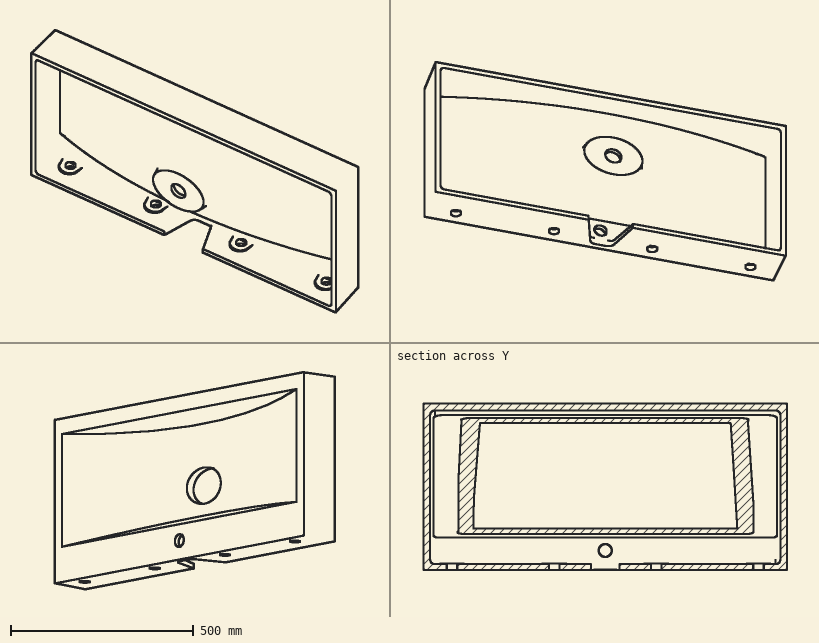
import cadquery as cq
import math


length = 1000.0
height = 460.0
depth = 115.0
draft = 2.0
outer_corner = 3.0

shell = 15.0
deck_y = depth - shell
end_wall = 15.0
top_wall = 16.0
bottom_wall = 14.0
end_draft = 8.0
top_draft = 8.0
bottom_draft = 6.0
inner_corner = 11.0
deck_fillet = 9.0

bowl_floor_y = 2.0
bowl_floor_low_y = -3.0
bowl_floor_high_y = 15.0
bowl_half_chord = 470.0
bowl_low_z = -140.0
bowl_high_z = 196.0
low_slope = 20.8
high_slope = 15.1
low_fillet = 11.0
high_fillet = 12.0
bowl_blank_half_length = 520.0

drain_z = -10.0
boss_face_y = -26.0
boss_radius_x = 83.0
boss_radius_z = 65.0
boss_slope = 12.0
boss_fillet = 13.0
boss_top_y = 12.0
boss_floor = 13.0
drain_radius = 23.0
cover_thickness = 10.0
cover_inset = 15.0

tap_radius = 17.5
tap_z = -175.0
notch_half_mouth = 63.0
notch_half_root = 30.0
notch_depth = 98.0
notch_fillet = 20.0
notch_edge_fillet = 3.0

pad_pitch = 280.0
pad_count = 4
pad_root_half = 42.0
pad_side_half = 31.0
pad_side_y = 57.0
pad_tip_y = 38.0
pad_rise = 5.0
pad_slope = 45.0
pad_hole_radius = 14.0
pad_hole_y = 75.0


def rounded_rectangle(y, x_half, z_low, z_high, corner):
    return (
        cq.Workplane("XZ", origin=(0, y, (z_low + z_high) / 2))
        .rect(2 * x_half, z_high - z_low)
        .extrude(-10)
        .edges("|Y")
        .fillet(corner)
        .faces("<Y")
        .wires()
        .val()
    )


def make_block():
    front = rounded_rectangle(0, length / 2, -height / 2, height / 2, outer_corner)
    back = rounded_rectangle(
        depth, length / 2 - draft, draft - height / 2, height / 2 - draft, outer_corner
    )
    return cq.Workplane(cq.Solid.makeLoft([front, back], True))


def make_hollow():
    x_half = length / 2 - end_wall
    z_low = bottom_wall - height / 2
    z_high = height / 2 - top_wall
    mouth = rounded_rectangle(0, x_half, z_low, z_high, inner_corner)
    deck = rounded_rectangle(
        deck_y, x_half - end_draft, z_low + bottom_draft, z_high - top_draft, inner_corner
    )
    hollow = cq.Workplane(cq.Solid.makeLoft([mouth, deck], True))
    return hollow.faces(">Y").edges().fillet(deck_fillet)


def arch_section(floor_y, z, wall):
    """Circle through the floor middle and the two ends of the chord on the deck, shrunk by the wall."""
    rise = deck_y - floor_y
    radius = (bowl_half_chord**2 + rise**2) / (2 * rise)
    center = cq.Vector(0, floor_y + radius, z)
    return cq.Wire.makeCircle(radius - wall, center, cq.Vector(0, 0, 1))


def make_bowl_form(wall):
    """Solid shape of the bowl, shrunk inward by the wall thickness."""
    y_near = bowl_floor_y - shell
    y_far = depth + shell
    low = math.radians(low_slope)
    high = math.radians(high_slope)
    low_root = bowl_low_z + wall / math.cos(low)
    high_root = bowl_high_z - wall / math.cos(high)

    def low_z(y):
        return low_root + (deck_y - y) * math.tan(low)

    def high_z(y):
        return high_root - (deck_y - y) * math.tan(high)

    long_walls = (
        cq.Workplane("YZ")
        .polyline([
            (y_near, low_z(y_near)),
            (y_near, high_z(y_near)),
            (y_far, high_z(y_far)),
            (y_far, low_z(y_far)),
        ])
        .close()
        .extrude(bowl_blank_half_length, both=True)
    )
    sections = [
        arch_section(bowl_floor_low_y, -height / 2, wall),
        arch_section(bowl_floor_high_y, height / 2, wall),
    ]
    arch = cq.Workplane(cq.Solid.makeLoft(sections, True))
    return long_walls.intersect(arch)


def make_bowl_outside():
    form = make_bowl_form(0)
    floor_middle = (0, bowl_floor_y)
    form = form.edges(cq.NearestToPointSelector((*floor_middle, bowl_low_z))).fillet(low_fillet)
    return form.edges(cq.NearestToPointSelector((*floor_middle, bowl_high_z))).fillet(high_fillet)


def ellipse_plate(y_start, y_end, inset):
    """Elliptic drain plate, inset from the outline of the boss face."""
    return (
        cq.Workplane("XZ", origin=(0, y_start, drain_z))
        .ellipse(boss_radius_x - inset, boss_radius_z - inset)
        .extrude(y_start - y_end)
    )


def make_boss():
    span = boss_top_y - boss_face_y
    growth = span * math.tan(math.radians(boss_slope))
    return (
        cq.Workplane("XZ", origin=(0, boss_face_y, drain_z))
        .ellipse(boss_radius_x, boss_radius_z)
        .workplane(offset=-span)
        .ellipse(boss_radius_x + growth, boss_radius_z + growth)
        .loft()
    )


def make_notch():
    return (
        cq.Workplane("XY", origin=(0, 0, -height / 2))
        .polyline([
            (-notch_half_mouth, 0),
            (-notch_half_root, notch_depth),
            (notch_half_root, notch_depth),
            (notch_half_mouth, 0),
        ])
        .close()
        .extrude(bottom_wall + deck_fillet + bottom_draft)
        .edges("|Z and >Y")
        .fillet(notch_fillet)
    )


def make_pad(x):
    """Pad with sloping sides, its back buried in the deck."""
    return (
        cq.Workplane("XY", origin=(x, 0, bottom_wall - height / 2))
        .moveTo(-pad_root_half, deck_y + pad_rise)
        .lineTo(-pad_side_half, pad_side_y)
        .threePointArc((0, pad_tip_y), (pad_side_half, pad_side_y))
        .lineTo(pad_root_half, deck_y + pad_rise)
        .close()
        .extrude(pad_rise, taper=pad_slope)
    )


def make_pad_hole(x):
    return (
        cq.Workplane("XY", origin=(x, pad_hole_y, -height / 2))
        .circle(pad_hole_radius)
        .extrude(bottom_wall + pad_rise)
    )


def make_basin():
    underside = make_hollow().cut(make_bowl_outside())
    basin = make_block().cut(underside).union(make_boss())
    boss_root = cq.NearestToPointSelector((0, bowl_floor_y, drain_z))
    basin = basin.edges(boss_root).fillet(boss_fillet)
    basin = basin.cut(make_bowl_form(shell))
    cover_y = boss_face_y + boss_floor
    basin = basin.cut(ellipse_plate(cover_y, bowl_floor_y + 2 * shell, cover_inset))
    drain = cq.Workplane("XZ", origin=(0, boss_face_y, drain_z)).circle(drain_radius)
    tap = cq.Workplane("XZ", origin=(0, 0, tap_z)).circle(tap_radius)
    basin = basin.cut(drain.extrude(-boss_floor)).cut(tap.extrude(-depth))
    basin = basin.cut(make_notch())
    leg_middle = ((notch_half_mouth + notch_half_root) / 2, notch_depth / 2)
    notch_edge = cq.NearestToPointSelector((*leg_middle, bottom_wall - height / 2))
    basin = basin.edges(notch_edge).fillet(notch_edge_fillet)
    for index in range(pad_count):
        x = (index - (pad_count - 1) / 2) * pad_pitch
        basin = basin.union(make_pad(x)).cut(make_pad_hole(x))
    return basin


def make_drain_cover():
    cover_y = boss_face_y + boss_floor
    return ellipse_plate(cover_y, cover_y + cover_thickness, cover_inset)


basin = make_basin()
drain_cover = make_drain_cover()
result = cq.Compound.makeCompound([basin.val(), drain_cover.val()])